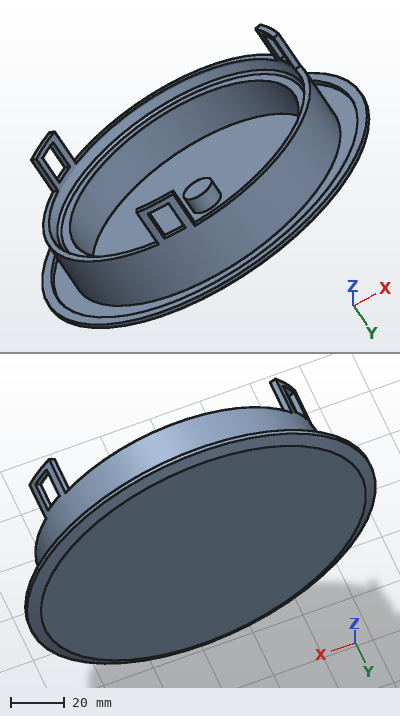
import cadquery as cq


cover_radius = 70.0
cover_depth = 3.8
bevel_depth = 2.1
bevel_inset = 4.8
dish_radius = 66.0
floor_depth = 2.0
pin_radius = 6.0
pin_end_depth = 8.8

tube_radius = 57.5
tube_end_depth = 24.1
bore_radius = 49.3
ledge_depth = 18.5
ledge_radius = 52.9
ledge_bevel = 1.1
mouth_radius = 55.0
mouth_depth = 23.0

clip_count = 3
first_clip_angle = 30.0
clip_width = 15.7
clip_end_depth = 39.9
window_width = 9.0
window_start_depth = 25.3
window_end_depth = 37.5


def turned(profile):
    """Solid of revolution about Y from (radius, depth) points."""
    points = [(radius, -depth) for radius, depth in profile]
    return cq.Workplane("XY").polyline(points).close().revolve(360, (0, 0, 0), (0, 1, 0))


def clip_blocks(width, start_depth, end_depth):
    """One block per clip, reaching from the axis out past the tube wall."""
    reach = tube_radius + mouth_radius
    block = (
        cq.Workplane("XY")
        .box(reach, end_depth - start_depth, width, centered=(False, False, True))
        .translate((0, -end_depth, 0))
    )
    blocks = []
    for index in range(clip_count):
        angle = first_clip_angle + index * 360 / clip_count
        blocks.append(block.rotate((0, 0, 0), (0, 1, 0), -angle))
    return blocks


def make_cover():
    return turned([
        (0, 0),
        (cover_radius - bevel_inset, 0),
        (cover_radius, bevel_depth),
        (cover_radius, cover_depth),
        (dish_radius, cover_depth),
        (dish_radius, floor_depth),
        (pin_radius, floor_depth),
        (pin_radius, pin_end_depth),
        (0, pin_end_depth),
    ])


def make_gaps_between_clips():
    """Everything beyond the tube end except the clips themselves."""
    outer_clearance = tube_radius + 1.4
    inner_clearance = mouth_radius - 1.4
    end_clearance = clip_end_depth + 1.4
    gaps = turned([
        (inner_clearance, tube_end_depth),
        (outer_clearance, tube_end_depth),
        (outer_clearance, end_clearance),
        (inner_clearance, end_clearance),
    ])
    for block in clip_blocks(clip_width, tube_end_depth, end_clearance):
        gaps = gaps.cut(block)
    return gaps


def make_clip_ring():
    ring = turned([
        (bore_radius, floor_depth),
        (tube_radius, floor_depth),
        (tube_radius, clip_end_depth),
        (mouth_radius, clip_end_depth),
        (mouth_radius, mouth_depth),
        (ledge_radius + ledge_bevel, ledge_depth + ledge_bevel),
        (ledge_radius, ledge_depth),
        (bore_radius, ledge_depth),
    ])
    ring = ring.cut(make_gaps_between_clips())
    for window in clip_blocks(window_width, window_start_depth, window_end_depth):
        ring = ring.cut(window)
    return ring.solids()


cover = make_cover()
clip_ring = make_clip_ring()

result = cq.Compound.makeCompound([cover.val(), clip_ring.val()])